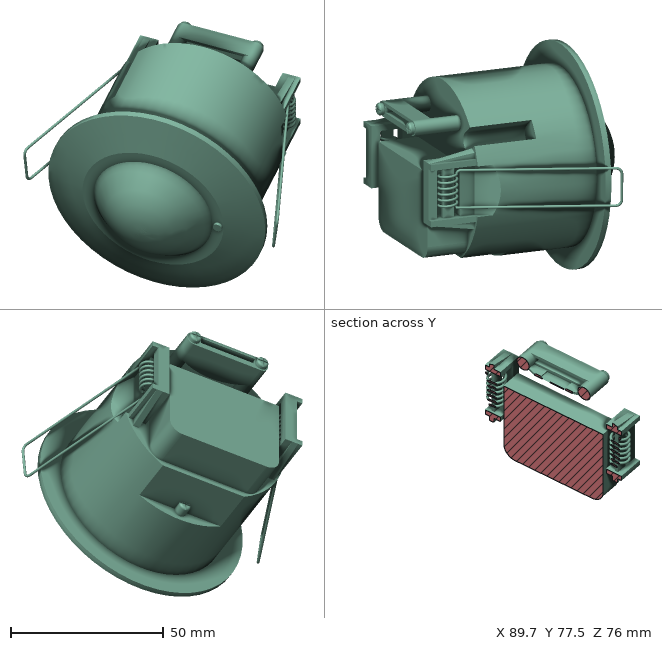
import cadquery as cq
import math

flange_radius = 38.0
flange_rim = 2.0
flange_depth = 5.5
face_radius = 24.7
lens_radius = 20.75
lens_height = 12.0

led_offset = 22.8
led_radius = 1.5
led_height = 1.0

housing_radius = 30.5
housing_length = 42.0
flat_depth = 26.4
flat_start = 26.0

key_angle = 35.5
key_width = 6.6
key_center_radius = 25.2
key_start = 20.0

block_width = 41.0
block_top = 5.5
block_bottom = -24.4
block_end = 56.2
block_corner = 4.7

post_radius = 2.6
post_spacing = 25.1
post_height = 19.1
rear_end = 58.2
bridge_length = 6.6
bridge_thickness = 1.15
lower_bridge_thickness = 1.9
lip_thickness = 1.0
lip_groove_thickness = 0.5
lip_groove_width = 10.0
lip_radius = 26.0
lip_front = 46.8
screw_radius = 2.1
screw_height = 1.8
screw_round = 0.8
screw_slot_width = 0.6
screw_slot_depth = 0.5
lower_screw_height = -26.8
lower_screw_length = 4.0

bracket_outer = 28.1
bracket_inner = 21.75
bracket_web = 26.0
window_half = 8.64
cheek_thickness = 2.0
window_near = 47.0
window_far = 55.1
gusset_outer = 26.5
gusset_inner = 24.3
gusset_rise = 2.9
gusset_low_rise = 2.0
gusset_root = 1.0

relief_offset = 26.4
relief_angle = 28.0

pin_offset = 25.4
pin_depth = (window_near + window_far) / 2
pin_width = 4.0
pin_thickness = 2 * (bracket_web - pin_offset)
wire_radius = 0.45
coil_radius = 3.05
coil_pitch = 2.0
arm_reach = 57.2
upper_arm_height = 7.6
lower_arm_height = -5.6
upper_arm_shift = 1.1
lower_arm_shift = -0.3
arm_bend = 2.0
coil_turns = 6
left_spring_angle = 20.4
right_spring_angle = 16.6


def rod(x, z, radius, y_start, y_end):
    """Cylinder parallel to Y."""
    return cq.Workplane(
        cq.Solid.makeCylinder(radius, y_end - y_start, cq.Vector(x, y_start, z), cq.Vector(0, 1, 0))
    )


def block(x_range, y_range, z_range):
    """Axis-aligned box between given limits."""
    size = [end - start for start, end in (x_range, y_range, z_range)]
    corner = cq.Vector(x_range[0], y_range[0], z_range[0])
    return cq.Workplane(cq.Solid.makeBox(*size, corner))


def front_cover():
    """Conical flange with its domed lens, turned about Y."""
    lens_tip = flange_depth + lens_height
    profile = (
        cq.Workplane("XY")
        .moveTo(0, 0)
        .lineTo(flange_radius, 0)
        .lineTo(flange_radius, -flange_rim)
        .lineTo(face_radius, -flange_depth)
        .lineTo(lens_radius, -flange_depth)
        .spline([(0, -lens_tip)], tangents=[(-1, -1), (-1, 0)], includeCurrent=True)
        .close()
    )
    cover = profile.revolve(360, (0, 0, 0), (0, 1, 0))
    led = rod(led_offset, 0, led_radius, -flange_depth - led_height, 0)
    return cover.union(led)


def wire_relief():
    """Sloped relief in the left wall that lets the spring arms swing out."""
    margin = 1.0
    depth = housing_radius + margin - relief_offset
    run = depth / math.tan(math.radians(relief_angle))
    return (
        cq.Workplane("XY", origin=(0, 0, -window_half))
        .moveTo(-relief_offset, housing_length)
        .lineTo(-relief_offset - depth, housing_length)
        .lineTo(-relief_offset - depth, housing_length - run)
        .close()
        .extrude(2 * window_half)
    )


def key_channel():
    """Radial round-bottomed channel, open to the side and to the rear."""
    half = key_width / 2
    channel = block((-housing_radius, 0), (key_start, housing_length), (-half, half))
    channel = channel.union(rod(0, 0, half, key_start, housing_length))
    channel = channel.translate((-key_center_radius, 0, 0))
    return channel.rotate((0, 0, 0), (0, 1, 0), key_angle)


def barrel():
    body = rod(0, 0, housing_radius, 0, housing_length)
    underside = block(
        (-housing_radius, housing_radius), (flat_start, housing_length), (-housing_radius, -flat_depth)
    )
    relief = wire_relief()
    body = body.cut(underside).cut(key_channel())
    return body.cut(relief).cut(relief.mirror("YZ"))


def terminal_block():
    half = block_width / 2
    body = block((-half, half), (housing_length, block_end), (block_bottom, block_top))
    return body.edges("|Y and <Z").fillet(block_corner)


def screw_head(x, z, y_start):
    """Round screw head with a cross slot, facing +Y."""
    y_end = y_start + screw_height
    head = rod(x, z, screw_radius, y_start, y_end).faces(">Y").edges().fillet(screw_round)
    half = screw_slot_width / 2
    depth_range = (y_end - screw_slot_depth, y_end)
    across = block((x - screw_radius, x + screw_radius), depth_range, (z - half, z + half))
    upright = block((x - half, x + half), depth_range, (z - screw_radius, z + screw_radius))
    return head.cut(across).cut(upright)


def clamp_lip(bottom):
    """Bowed lip that widens the lower bridge towards the housing, thinner in the middle."""
    half = post_spacing / 2
    groove = lip_groove_width / 2
    top = bottom + lip_thickness
    depth_range = (lip_front, rear_end - bridge_length)
    disc = (
        cq.Workplane("XY", origin=(0, lip_front + lip_radius, bottom))
        .circle(lip_radius)
        .extrude(lip_thickness)
    )
    lip = disc.intersect(block((-half, half), depth_range, (bottom, top)))
    return lip.cut(block((-groove, groove), depth_range, (bottom + lip_groove_thickness, top)))


def cable_clamp():
    """Two screw posts joined at the rear by an upper and a lower bridge."""
    half = post_spacing / 2
    span = (-half, half)
    depth_range = (rear_end - bridge_length, rear_end)
    top = post_height + post_radius
    bottom = post_height - post_radius
    clamp = block(span, depth_range, (top - bridge_thickness, top))
    clamp = clamp.union(block(span, depth_range, (bottom, bottom + lower_bridge_thickness)))
    clamp = clamp.union(clamp_lip(bottom))
    for x in (-half, half):
        clamp = clamp.union(rod(x, post_height, post_radius, housing_length, rear_end))
        clamp = clamp.union(screw_head(x, post_height, rear_end))
    return clamp


def lower_screw():
    head_start = flat_start + lower_screw_length - screw_height
    shank = rod(0, lower_screw_height, screw_radius, flat_start, head_start)
    return shank.union(screw_head(0, lower_screw_height, head_start))


def gusset(outer_rise):
    """Tapered rib on the upper cheek; it runs out at the rear and may be bevelled to its outer side."""
    cheek_top = window_half + cheek_thickness
    root = cheek_top - gusset_root

    def section(y, outer_top, inner_top):
        corners = [
            (-gusset_outer, y, root),
            (-gusset_inner, y, root),
            (-gusset_inner, y, inner_top),
            (-gusset_outer, y, outer_top),
        ]
        return cq.Wire.makePolygon([cq.Vector(*corner) for corner in corners], close=True)

    front = section(housing_length, cheek_top + outer_rise, cheek_top + gusset_rise)
    rear = section(rear_end, cheek_top, cheek_top)
    return cq.Workplane(cq.Solid.makeLoft([front, rear], True))


def spring_bracket():
    """Left frame: two cheeks, two bars and the pin that carries the spring."""
    cheek_top = window_half + cheek_thickness
    body = block((-bracket_outer, -bracket_inner), (housing_length, rear_end), (-cheek_top, cheek_top))
    pocket = block((-bracket_outer, -bracket_web), (housing_length, rear_end), (-window_half, window_half))
    window = block(
        (-bracket_outer, -bracket_inner), (window_near, window_far), (-window_half, window_half)
    )
    pin = block(
        (-pin_offset - pin_thickness / 2, -pin_offset + pin_thickness / 2),
        (pin_depth - pin_width / 2, pin_depth + pin_width / 2),
        (-window_half, window_half),
    )
    upper_rib = gusset(gusset_low_rise)
    lower_rib = gusset(gusset_rise).mirror("XY")
    return body.cut(pocket).cut(window).union(pin).union(upper_rib).union(lower_rib)


def wire_spring(swing):
    """Left spring: a coil on the pin and a U-shaped arm swung out by the given angle.

    Built with the pin axis on Z and the arm along -Y, then swung and moved onto the pin.
    """
    lower_y = -math.sqrt(coil_radius**2 - lower_arm_shift**2)
    upper_y = -math.sqrt(coil_radius**2 - upper_arm_shift**2)
    lower_angle = math.atan2(lower_y, -lower_arm_shift)
    upper_angle = math.atan2(upper_y, -upper_arm_shift)
    turns = coil_turns + (upper_angle - lower_angle) / (2 * math.pi)
    coil_height = turns * coil_pitch

    helix = cq.Wire.makeHelix(coil_pitch, coil_height, coil_radius)
    coil = (
        cq.Workplane("XZ", origin=(coil_radius, 0, 0))
        .circle(wire_radius)
        .sweep(cq.Workplane(helix), isFrenet=True)
        .rotate((0, 0, 0), (0, 0, 1), math.degrees(lower_angle))
        .translate((0, 0, lower_arm_height))
    )

    lower = cq.Vector(-lower_arm_shift, 0, lower_arm_height)
    upper = cq.Vector(-upper_arm_shift, 0, upper_arm_height)
    across = upper - lower
    span = across.Length
    plane = cq.Plane(origin=lower, xDir=across, normal=across.cross(cq.Vector(0, -1, 0)))
    riser = upper_arm_height - lower_arm_height - coil_height
    arm_start = (0, -lower_y)
    arm_end = (span - riser, -upper_y)
    corner_rise = 1 - math.sqrt(0.5)
    bend_inset = arm_bend * corner_rise
    riser_inset = riser * corner_rise
    path = (
        cq.Workplane(plane)
        .moveTo(*arm_start)
        .lineTo(0, arm_reach - arm_bend)
        .threePointArc((bend_inset, arm_reach - bend_inset), (arm_bend, arm_reach))
        .lineTo(span - arm_bend, arm_reach)
        .threePointArc((span - bend_inset, arm_reach - bend_inset), (span, arm_reach - arm_bend))
        .lineTo(span, riser - upper_y)
        .threePointArc((span - riser_inset, riser_inset - upper_y), arm_end)
    )
    arm = cq.Workplane("XZ", origin=plane.toWorldCoords(arm_start)).circle(wire_radius).sweep(path)

    spring = coil.union(arm)
    for point in (arm_start, arm_end):
        spring = spring.union(cq.Workplane("XY", origin=plane.toWorldCoords(point)).sphere(wire_radius))
    return spring.rotate((0, 0, 0), (0, 0, 1), -swing).translate((-pin_offset, pin_depth, 0))


bracket = spring_bracket()
housing = (
    front_cover()
    .union(barrel())
    .union(terminal_block())
    .union(cable_clamp())
    .union(lower_screw())
    .union(bracket)
    .union(bracket.mirror("YZ"))
    .union(wire_spring(right_spring_angle).mirror("YZ"))
)

left_spring = wire_spring(left_spring_angle)

result = cq.Compound.makeCompound([housing.val(), left_spring.val()])